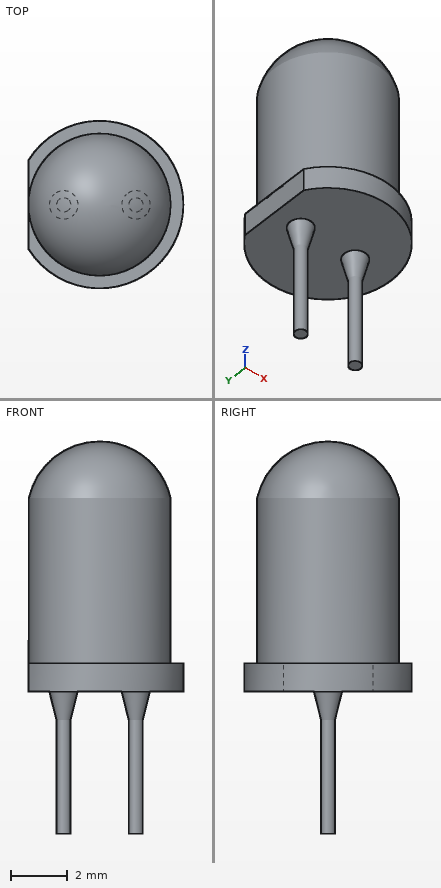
import cadquery as cq

body_diameter = 5.0
body_radius = body_diameter / 2
flange_diameter = 5.9
flange_height = 1.0
flat_x = -body_radius
barrel_height = 5.8
dome_height = 2.0

lead_pitch = 2.54
lead_diameter = 0.5
lead_length = 5.0
taper_length = 1.0
taper_top_diameter = 1.0

dome_base_z = flange_height + barrel_height
dome_top_z = dome_base_z + dome_height
dome_radius = (body_radius**2 + dome_height**2) / (2 * dome_height)
dome_center_z = dome_top_z - dome_radius


def make_flange():
    """Round flange with one flat on its -X side."""
    disc = cq.Workplane("XY").circle(flange_diameter / 2).extrude(flange_height)
    keep = (
        cq.Workplane("XY")
        .box(flange_diameter, flange_diameter, flange_height, centered=(False, True, False))
        .translate((flat_x, 0, 0))
    )
    return disc.intersect(keep)


def make_body():
    """Cylindrical barrel closed by the spherical cap, revolved about Z."""
    arc_mid_x = dome_radius / 2
    arc_mid_z = dome_center_z + (dome_radius**2 - arc_mid_x**2) ** 0.5
    return (
        cq.Workplane("XZ")
        .lineTo(body_radius, 0)
        .lineTo(body_radius, dome_base_z)
        .threePointArc((arc_mid_x, arc_mid_z), (0, dome_top_z))
        .close()
        .revolve(360, (0, 0), (0, 1))
    )


def make_lead(x):
    """Round lead that widens in a cone where it meets the flange."""
    lead_radius = lead_diameter / 2
    return (
        cq.Workplane("XZ")
        .lineTo(taper_top_diameter / 2, 0)
        .lineTo(lead_radius, -taper_length)
        .lineTo(lead_radius, -lead_length)
        .lineTo(0, -lead_length)
        .close()
        .revolve(360, (0, 0), (0, 1))
        .translate((x, 0, 0))
    )


result = make_flange().union(make_body())
for side in (-1, 1):
    result = result.union(make_lead(side * lead_pitch / 2))